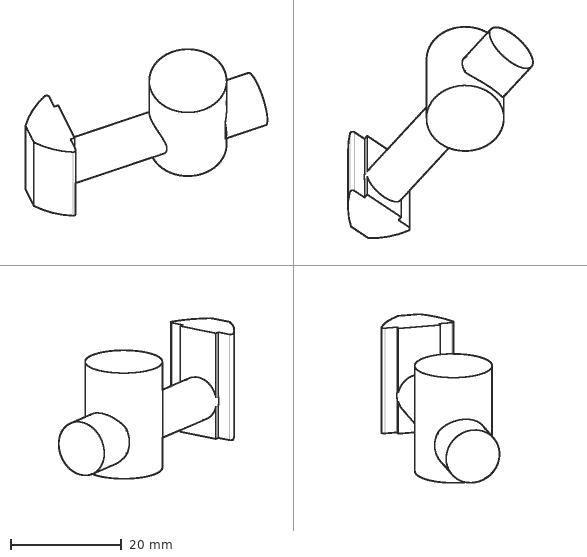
import cadquery as cq

post_diameter = 14.0
post_height = 20.0

rod_axis_z = -3.0
rear_rod_diameter = 10.0
rear_rod_length = 8.0
rear_rod_end_y = 13.5
front_rod_diameter = 8.0

overall_length = 44.4
nose_y = rear_rod_end_y - overall_length
flange_depth = 6.4
neck_depth = 0.8
neck_width = 7.8
flange_width = 14.0
nose_width = 4.0
flank_radius = 15.0
corner_radius = 0.5
flange_y = nose_y + flange_depth


def rod(diameter, start_y, end_y):
    """Round rod on the common axis, running from start_y towards +Y up to end_y."""
    start = cq.Vector(0, start_y, rod_axis_z)
    return cq.Workplane(cq.Solid.makeCylinder(diameter / 2, end_y - start_y, start, cq.Vector(0, 1, 0)))


def make_post():
    return cq.Workplane("XY").circle(post_diameter / 2).extrude(post_height / 2, both=True)


def make_head():
    """Head with bulging flanks, as tall as the post, with rounded flange corners."""
    flange = (
        cq.Workplane("XY")
        .moveTo(-flange_width / 2, flange_y)
        .radiusArc((-nose_width / 2, nose_y), -flank_radius)
        .lineTo(nose_width / 2, nose_y)
        .radiusArc((flange_width / 2, flange_y), -flank_radius)
        .close()
        .extrude(post_height / 2, both=True)
    )
    flange = flange.faces(">Y").edges("|Z").fillet(corner_radius)
    neck = cq.Workplane("XY").box(neck_width, neck_depth, post_height, centered=(True, False, True))
    return flange.union(neck.translate((0, flange_y, 0)))


rear_rod = rod(rear_rod_diameter, rear_rod_end_y - rear_rod_length, rear_rod_end_y)
front_rod = rod(front_rod_diameter, flange_y, 0)

result = make_post().union(rear_rod).union(front_rod).union(make_head())